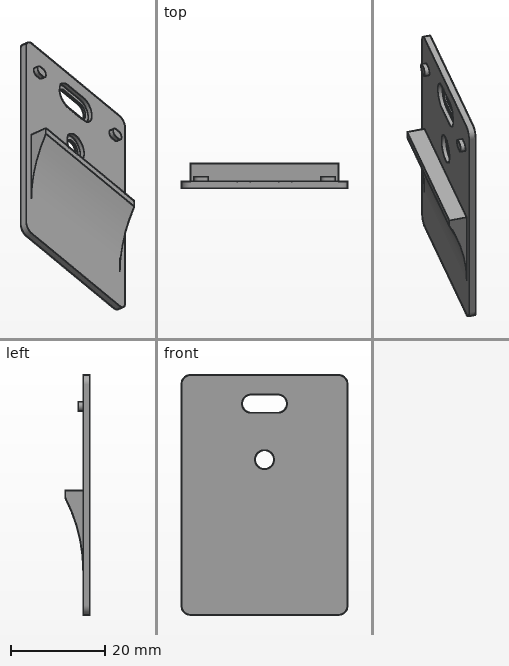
import cadquery as cq
import math

plate_width = 35.3
plate_height = 51
plate_thickness = 1.5
corner_radius = 2.0

slot_length = 9.5
slot_width = 3.8
slot_height = 19.4
hole_diameter = 4.0
hole_height = 7.5

skin_thickness = 0.5
recess_margin = 1.0

peg_length = 3.0
peg_width = 2.0
peg_depth = 1.0
peg_offset = 13.45
peg_height = 18.8

wedge_width = 31.5
wedge_depth = 3.8
wedge_top = 0.95
tip_thickness = 1.55
arc_drop = 15.5
embed = 0.25


def back_sketch_plane(y):
    """XZ plane at the given Y, with its normal pointing toward the back (+Y)."""
    return cq.Workplane(cq.Plane(origin=(0, y, 0), xDir=(-1, 0, 0), normal=(0, 1, 0)))


def cut_openings(plate, start, margin):
    """Cut the slot and hole, widened by margin all round, from Y = start through the back."""
    depth = plate_thickness - start
    slot = back_sketch_plane(start).center(0, slot_height)
    slot = slot.slot2D(slot_length + 2 * margin, slot_width + 2 * margin)
    hole = back_sketch_plane(start).center(0, hole_height).circle(hole_diameter / 2 + margin)
    return plate.cut(slot.extrude(depth)).cut(hole.extrude(depth))


def make_plate():
    plate = back_sketch_plane(0).rect(plate_width, plate_height).extrude(plate_thickness)
    plate = plate.edges("|Y").fillet(corner_radius)
    plate = cut_openings(plate, 0, 0)
    return cut_openings(plate, skin_thickness, recess_margin)


def make_pegs():
    centres = [(-peg_offset, peg_height), (peg_offset, peg_height)]
    pegs = back_sketch_plane(plate_thickness - embed).pushPoints(centres)
    return pegs.slot2D(peg_length, peg_width).extrude(embed + peg_depth)


def make_wedge():
    back = plate_thickness
    tip = back + wedge_depth
    arc_top = wedge_top - tip_thickness
    arc_bottom = arc_top - arc_drop
    radius = (arc_drop**2 + wedge_depth**2) / (2 * wedge_depth)
    middle_rise = arc_drop / 2
    middle_depth = radius - math.sqrt(radius**2 - middle_rise**2)
    arc_middle = (back + middle_depth, arc_bottom + middle_rise)
    profile = (
        cq.Workplane("YZ")
        .moveTo(back - embed, wedge_top)
        .lineTo(tip, wedge_top)
        .lineTo(tip, arc_top)
        .threePointArc(arc_middle, (back, arc_bottom))
        .lineTo(back - embed, arc_bottom)
        .close()
    )
    return profile.extrude(wedge_width / 2, both=True)


result = make_plate().union(make_pegs()).union(make_wedge())